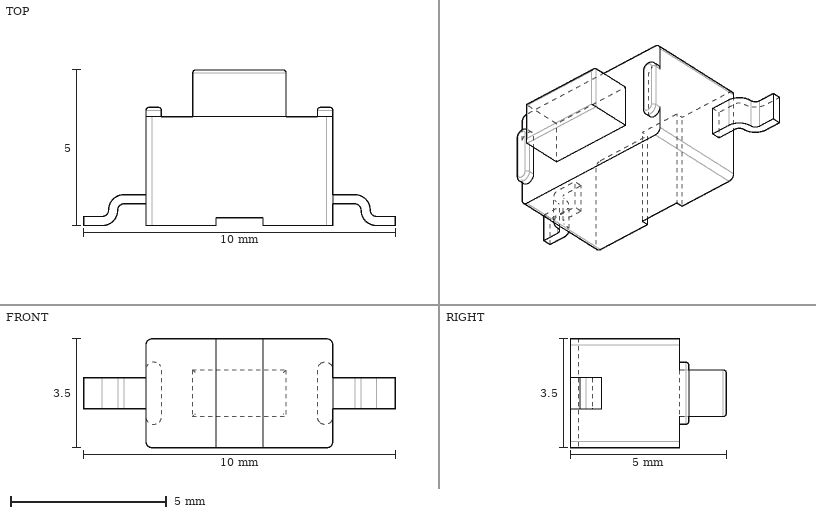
import cadquery as cq

body_width = 6.0
body_depth = 3.5
body_height = 3.5
body_corner_radius = 0.2

groove_width = 1.5
groove_depth = 0.25

button_width = 3.0
button_depth = 1.5
button_height = 1.5
button_edge_radius = 0.1

peg_width = 0.5
peg_length = 2.0
peg_height = 0.3
peg_edge_radius = 0.1

lead_span = 10.0
lead_width = 1.0
lead_thickness = 0.3
foot_length = 0.6
bend_inner_radius = 0.2
bend_outer_radius = bend_inner_radius + lead_thickness


def block(width, height, depth, base_y):
    """Block centred on X and Z, standing on the plane Y = base_y."""
    return cq.Workplane("XY").box(width, height, depth).translate((0, base_y + height / 2, 0))


def make_body():
    body = block(body_width, body_height, body_depth, 0)
    body = body.edges("|Y").fillet(body_corner_radius)
    return body.cut(block(groove_width, groove_depth, body_depth, 0))


def make_button():
    button = block(button_width, button_height, button_depth, body_height)
    return button.faces(">Y").edges().fillet(button_edge_radius)


def make_peg():
    """Peg at the -X end of the body, flush with the end face."""
    peg = (
        cq.Workplane("XZ", origin=(-(body_width - peg_width) / 2, body_height, 0))
        .slot2D(peg_length, peg_width, 90)
        .extrude(-peg_height)
    )
    return peg.faces(">Y").edges().fillet(peg_edge_radius)


def make_lead():
    """S-shaped lead at the -X end; its two bends meet halfway up."""
    tip_x = -lead_span / 2
    lower_bend_x = tip_x + foot_length
    upper_bend_x = lower_bend_x + bend_inner_radius + bend_outer_radius
    bend_y = bend_outer_radius
    top_y = 2 * bend_outer_radius
    return (
        cq.Workplane("XY")
        .moveTo(tip_x, 0)
        .lineTo(lower_bend_x, 0)
        .radiusArc((lower_bend_x + bend_outer_radius, bend_y), -bend_outer_radius)
        .radiusArc((upper_bend_x, top_y - lead_thickness), bend_inner_radius)
        .lineTo(-body_width / 2, top_y - lead_thickness)
        .lineTo(-body_width / 2, top_y)
        .lineTo(upper_bend_x, top_y)
        .radiusArc((upper_bend_x - bend_outer_radius, bend_y), -bend_outer_radius)
        .radiusArc((lower_bend_x, lead_thickness), bend_inner_radius)
        .lineTo(tip_x, lead_thickness)
        .close()
        .extrude(lead_width / 2, both=True)
    )


result = make_body().union(make_button())
for end_feature in (make_peg(), make_lead()):
    result = result.union(end_feature).union(end_feature.mirror("YZ"))